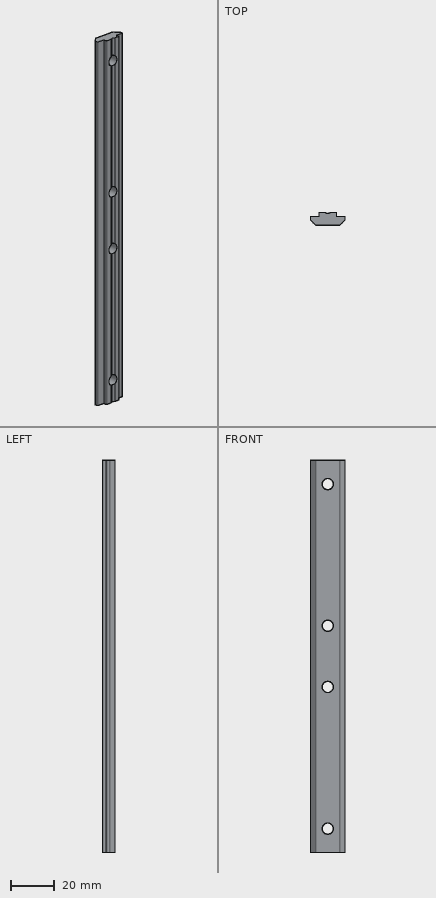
import cadquery as cq
import math

length = 180.0
width = 16.0
depth = 6.0

chamfer = 2.5
rib_width = 8.1
rib_height = 1.8
corner_radius = 0.4

groove_width = 2.7
groove_depth = 0.5

hole_diameter = 5.0
outer_hole_offset = 79.0
inner_hole_offset = 14.0

edge_tolerance = 0.002

front_y = -depth / 2
back_y = depth / 2
shoulder_y = back_y - rib_height


def make_bar():
    """Extrude the symmetric cross-section along Z, centred on the origin."""
    half_profile = [
        (0, front_y),
        (width / 2 - chamfer, front_y),
        (width / 2, front_y + chamfer),
        (width / 2, shoulder_y),
        (rib_width / 2, shoulder_y),
        (rib_width / 2, back_y),
        (groove_width / 2, back_y),
        (0, back_y - groove_depth),
    ]
    bar = (
        cq.Workplane("XY")
        .workplane(offset=-length / 2)
        .polyline(half_profile)
        .mirrorY()
        .extrude(length)
    )
    return round_edges(bar)


def long_edges(bar, half_spacing, y):
    """Select the mirrored pair of lengthwise edges at X = +/-half_spacing and the given Y."""
    edges = bar.edges("|Z")
    return edges.filter(
        lambda edge: math.isclose(abs(edge.Center().x), half_spacing, abs_tol=edge_tolerance)
        and math.isclose(edge.Center().y, y, abs_tol=edge_tolerance)
    )


def round_edges(bar):
    """Round the outer lengthwise corners of the bar."""
    outer_corners = [
        (width / 2 - chamfer, front_y),
        (width / 2, front_y + chamfer),
        (width / 2, shoulder_y),
        (rib_width / 2, back_y),
    ]
    for half_spacing, y in outer_corners:
        bar = long_edges(bar, half_spacing, y).fillet(corner_radius)
    return bar


def drill_holes(bar):
    """Drill the row of holes through the bar along Y."""
    centres = []
    for offset in (outer_hole_offset, inner_hole_offset):
        centres += [(0, offset), (0, -offset)]
    drills = (
        cq.Workplane("XZ")
        .pushPoints(centres)
        .circle(hole_diameter / 2)
        .extrude(depth, both=True)
    )
    return bar.cut(drills)


result = drill_holes(make_bar())